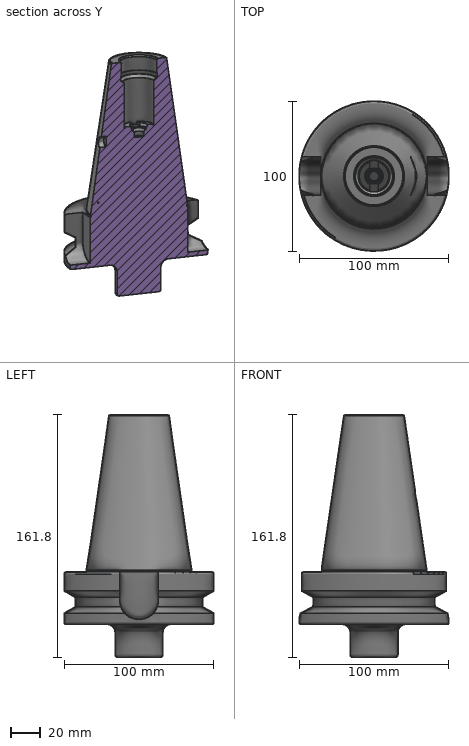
import cadquery as cq
import math


GAUGE_RADIUS = 69.85 / 2
TAPER_LENGTH = 101.8
TAPER_SLOPE = 7 / 48
TAPER_TOP_RADIUS = GAUGE_RADIUS - TAPER_SLOPE * TAPER_LENGTH
TAPER_TOP_CHAMFER = 0.8
TAPER_BASE_Z = -0.9
TAPER_BASE_RADIUS = GAUGE_RADIUS - TAPER_SLOPE * TAPER_BASE_Z
NECK_TOP_Z = -2.0
NECK_BOTTOM_Z = -2.5
NECK_UNDERCUT = 0.5
NECK_RADIUS = TAPER_BASE_RADIUS - NECK_UNDERCUT
NECK_FOOT_RADIUS = 35.3

FLANGE_RADIUS = 50.0
FLANGE_TOP_Z = -3.0
FLANGE_BOTTOM_Z = -38.0
FLANGE_EDGE_RADIUS = 1.5
GROOVE_RADIUS = 85.0 / 2
GROOVE_CENTRE_Z = -23.1
GROOVE_FLOOR_WIDTH = 6.4
GROOVE_FLANK_ANGLE = 30.0
GROOVE_FLANK_HEIGHT = (FLANGE_RADIUS - GROOVE_RADIUS) * math.tan(math.radians(GROOVE_FLANK_ANGLE))

SPIGOT_RADIUS = 16.0
SPIGOT_BOTTOM_Z = -60.0
SPIGOT_FILLET = 5.0
SPIGOT_END_RADIUS = 2.0

SLOT_WIDTH = 25.7
SLOT_FLOOR_X = 35.4
SLOT_BOTTOM_Z = -34.6

BORE_RADIUS = 25.0 / 2
BORE_DEPTH = 10.4
BORE_CHAMFER = 1.0
RELIEF_GROOVE_DEPTH = 0.5
RELIEF_RADIUS = BORE_RADIUS + RELIEF_GROOVE_DEPTH
RELIEF_BOTTOM_DEPTH = 13.0
THREAD_RADIUS = 21.0 / 2
SEAT_HALF_ANGLE = 45.0
SEAT_HEIGHT = (BORE_RADIUS - THREAD_RADIUS) / math.tan(math.radians(SEAT_HALF_ANGLE))
THREAD_DEPTH = 45.0
BORE_FLOOR_Z = TAPER_LENGTH - THREAD_DEPTH
FLOOR_RADIUS = 9.9
FLOOR_BEVEL_DEPTH = 1.0

KEY_SLOT_WIDTH = 5.4
KEY_SLOT_DEPTH = 2.0
POCKET_MOUTH_RADIUS = 6.1
POCKET_RADIUS = 5.2
POCKET_DEPTH = 3.0
PILOT_MOUTH_RADIUS = 4.3
PILOT_RADIUS = 3.3
PILOT_CONE_DEPTH = 5.0
PILOT_DEPTH = 8.0

SIDE_HOLE_DIAMETER = 7.0
SIDE_HOLE_Z = 48.0
SIDE_HOLE_FLOOR_X = 24.0


def turned_body():
    """Revolve the outer profile: spigot, grooved flange, neck and taper."""
    groove_floor_bottom = GROOVE_CENTRE_Z - GROOVE_FLOOR_WIDTH / 2
    groove_floor_top = GROOVE_CENTRE_Z + GROOVE_FLOOR_WIDTH / 2
    diagonal = math.sqrt(0.5)

    def round_corner(profile, centre, radius, side, level, end):
        """Add a quarter arc whose midpoint lies towards (side, level) from its centre."""
        middle = (centre[0] + side * radius * diagonal, centre[1] + level * radius * diagonal)
        return profile.threePointArc(middle, end)

    edge_centre_r = FLANGE_RADIUS - FLANGE_EDGE_RADIUS
    edge_bottom_z = FLANGE_BOTTOM_Z + FLANGE_EDGE_RADIUS
    edge_top_z = FLANGE_TOP_Z - FLANGE_EDGE_RADIUS
    spigot_end_r = SPIGOT_RADIUS - SPIGOT_END_RADIUS
    spigot_end_z = SPIGOT_BOTTOM_Z + SPIGOT_END_RADIUS
    fillet_r = SPIGOT_RADIUS + SPIGOT_FILLET
    fillet_z = FLANGE_BOTTOM_Z - SPIGOT_FILLET

    profile = cq.Workplane("XZ").moveTo(0, SPIGOT_BOTTOM_Z).lineTo(spigot_end_r, SPIGOT_BOTTOM_Z)
    profile = round_corner(
        profile, (spigot_end_r, spigot_end_z), SPIGOT_END_RADIUS, 1, -1, (SPIGOT_RADIUS, spigot_end_z)
    )
    profile = profile.lineTo(SPIGOT_RADIUS, fillet_z)
    profile = round_corner(
        profile, (fillet_r, fillet_z), SPIGOT_FILLET, -1, 1, (fillet_r, FLANGE_BOTTOM_Z)
    )
    profile = profile.lineTo(edge_centre_r, FLANGE_BOTTOM_Z)
    profile = round_corner(
        profile, (edge_centre_r, edge_bottom_z), FLANGE_EDGE_RADIUS, 1, -1, (FLANGE_RADIUS, edge_bottom_z)
    )
    profile = (
        profile.lineTo(FLANGE_RADIUS, groove_floor_bottom - GROOVE_FLANK_HEIGHT)
        .lineTo(GROOVE_RADIUS, groove_floor_bottom)
        .lineTo(GROOVE_RADIUS, groove_floor_top)
        .lineTo(FLANGE_RADIUS, groove_floor_top + GROOVE_FLANK_HEIGHT)
        .lineTo(FLANGE_RADIUS, edge_top_z)
    )
    profile = round_corner(
        profile, (edge_centre_r, edge_top_z), FLANGE_EDGE_RADIUS, 1, 1, (edge_centre_r, FLANGE_TOP_Z)
    )
    profile = (
        profile.lineTo(NECK_FOOT_RADIUS, FLANGE_TOP_Z)
        .lineTo(NECK_RADIUS, NECK_BOTTOM_Z)
        .lineTo(NECK_RADIUS, NECK_TOP_Z)
        .lineTo(TAPER_BASE_RADIUS, NECK_TOP_Z)
        .lineTo(TAPER_BASE_RADIUS, TAPER_BASE_Z)
        .lineTo(TAPER_TOP_RADIUS + TAPER_SLOPE * TAPER_TOP_CHAMFER, TAPER_LENGTH - TAPER_TOP_CHAMFER)
        .lineTo(TAPER_TOP_RADIUS - TAPER_TOP_CHAMFER, TAPER_LENGTH)
        .lineTo(0, TAPER_LENGTH)
        .close()
    )
    return profile.revolve(360, (0, 0, 0), (0, 1, 0))


def pull_stud_bore():
    """Stepped blind bore with a chamfered mouth, a relief groove and a conical seat."""
    bore_end_z = TAPER_LENGTH - BORE_DEPTH
    seat_top_z = TAPER_LENGTH - RELIEF_BOTTOM_DEPTH
    return (
        cq.Workplane("XZ")
        .moveTo(0, TAPER_LENGTH)
        .lineTo(BORE_RADIUS + BORE_CHAMFER, TAPER_LENGTH)
        .lineTo(BORE_RADIUS, TAPER_LENGTH - BORE_CHAMFER)
        .lineTo(BORE_RADIUS, bore_end_z)
        .lineTo(RELIEF_RADIUS, bore_end_z)
        .lineTo(RELIEF_RADIUS, seat_top_z)
        .lineTo(BORE_RADIUS, seat_top_z)
        .lineTo(THREAD_RADIUS, seat_top_z - SEAT_HEIGHT)
        .lineTo(THREAD_RADIUS, BORE_FLOOR_Z - FLOOR_BEVEL_DEPTH)
        .lineTo(FLOOR_RADIUS, BORE_FLOOR_Z)
        .lineTo(0, BORE_FLOOR_Z)
        .close()
        .revolve(360, (0, 0, 0), (0, 1, 0))
    )


def floor_key_slot():
    """Key slot along Y, right across the floor of the bore."""
    floor = cq.Workplane("XY").workplane(offset=BORE_FLOOR_Z)
    bore_disc = floor.circle(THREAD_RADIUS).extrude(-KEY_SLOT_DEPTH)
    return floor.rect(KEY_SLOT_WIDTH, 2 * THREAD_RADIUS).extrude(-KEY_SLOT_DEPTH).intersect(bore_disc)


def floor_pocket():
    """Round pocket in the floor of the bore: conical mouth, flat step, conical lead and pilot hole."""
    pocket_z = BORE_FLOOR_Z - POCKET_DEPTH
    pilot_z = BORE_FLOOR_Z - PILOT_DEPTH
    return (
        cq.Workplane("XZ")
        .moveTo(0, BORE_FLOOR_Z)
        .lineTo(POCKET_MOUTH_RADIUS, BORE_FLOOR_Z)
        .lineTo(POCKET_RADIUS, BORE_FLOOR_Z - KEY_SLOT_DEPTH)
        .lineTo(POCKET_RADIUS, pocket_z)
        .lineTo(PILOT_MOUTH_RADIUS, pocket_z)
        .lineTo(PILOT_RADIUS, BORE_FLOOR_Z - PILOT_CONE_DEPTH)
        .lineTo(PILOT_RADIUS, pilot_z)
        .lineTo(0, pilot_z)
        .close()
        .revolve(360, (0, 0, 0), (0, 1, 0))
    )


def drive_slot(side):
    """Round-bottomed drive slot, cut from the rim on the +X (1) or -X (-1) side."""
    round_centre_z = SLOT_BOTTOM_Z + SLOT_WIDTH / 2
    half_width = SLOT_WIDTH / 2
    return (
        cq.Workplane("YZ", origin=(side * SLOT_FLOOR_X, 0, 0))
        .moveTo(-half_width, FLANGE_TOP_Z)
        .lineTo(-half_width, round_centre_z)
        .threePointArc((0, SLOT_BOTTOM_Z), (half_width, round_centre_z))
        .lineTo(half_width, FLANGE_TOP_Z)
        .close()
        .extrude(side * (FLANGE_RADIUS - SLOT_FLOOR_X))
    )


def side_hole():
    """Blind hole running in from the +X side of the taper."""
    return (
        cq.Workplane("YZ", origin=(SIDE_HOLE_FLOOR_X, 0, SIDE_HOLE_Z))
        .circle(SIDE_HOLE_DIAMETER / 2)
        .extrude(GAUGE_RADIUS - SIDE_HOLE_FLOOR_X)
    )


result = turned_body()
for recess in (pull_stud_bore(), floor_key_slot(), floor_pocket(), side_hole()):
    result = result.cut(recess)
for slot_side in (1, -1):
    result = result.cut(drive_slot(slot_side))